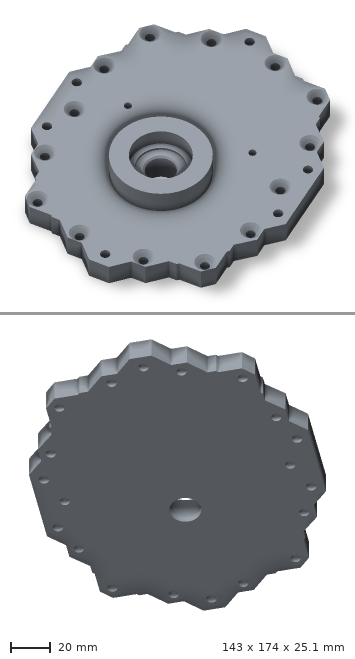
import cadquery as cq
import math

length = 174.0
width = 143.0
plate_thickness = 12.2
half_length = length / 2
half_width = width / 2

boss_center_y = -18.5
boss_diameter = 52.0
boss_height = 12.9
top_z = plate_thickness + boss_height
seat_diameter = 32.0
seat_depth = 9.0
relief_diameter = 26.0
relief_depth = 1.2
shaft_mouth_diameter = 18.0
shaft_diameter = 16.0

screw_diameter = 5.0
countersink_diameter = 10.8
countersink_angle = 90
dowel_diameter = 5.2
blind_diameter = 4.2
blind_depth = 7.0
drill_point_angle = 118

screw_positions = [(18.0, 73.0), (47.0, 62.3), (57.8, 32.9), (57.8, 0)]
dowel_positions = [(0, 80.0), (64.9, 16.5)]
blind_x = 35.0
blind_y = 14.1

quarter_outline = [
    (5.5, half_length),
    (14.0, 78.6),
    (22.0, 78.6),
    (30.6, 70.0),
    (35.0, 70.0),
    (36.0, 68.9),
    (48.0, 68.9),
    (53.6, 63.3),
    (53.6, 51.0),
    (54.6, 50.0),
    (54.6, 45.5),
    (63.5, 37.0),
    (63.5, 29.0),
    (half_width, 21.2),
]


def mirrored(points):
    """Repeat first-quadrant points in all four quadrants, without duplicates."""
    return sorted({(sx * x, sy * y) for x, y in points for sx in (1, -1) for sy in (1, -1)})


def make_plate():
    right_side = quarter_outline + [(x, -y) for x, y in reversed(quarter_outline)]
    left_side = [(-x, -y) for x, y in right_side]
    return cq.Workplane("XY").polyline(right_side + left_side).close().extrude(plate_thickness)


def make_boss():
    return (
        cq.Workplane("XY", origin=(0, boss_center_y, 0))
        .circle(boss_diameter / 2)
        .extrude(top_z)
    )


def make_bore():
    """Revolved cutter: bearing seat, shallow relief, chamfered through hole."""
    seat_z = top_z - seat_depth
    relief_z = seat_z - relief_depth
    chamfer = (shaft_mouth_diameter - shaft_diameter) / 2
    profile = [
        (0, 0),
        (shaft_diameter / 2, 0),
        (shaft_diameter / 2, relief_z - chamfer),
        (shaft_mouth_diameter / 2, relief_z),
        (relief_diameter / 2, relief_z),
        (relief_diameter / 2, seat_z),
        (seat_diameter / 2, seat_z),
        (seat_diameter / 2, top_z),
        (0, top_z),
    ]
    return (
        cq.Workplane("XZ", origin=(0, boss_center_y, 0))
        .polyline(profile)
        .close()
        .revolve(360, (0, 0), (0, 1))
    )


def make_blind_hole():
    """Revolved cutter for a blind drilled hole with a conical bottom."""
    radius = blind_diameter / 2
    point_height = radius / math.tan(math.radians(drill_point_angle / 2))
    floor_z = plate_thickness - blind_depth
    profile = [
        (0, floor_z - point_height),
        (radius, floor_z),
        (radius, plate_thickness),
        (0, plate_thickness),
    ]
    return cq.Workplane("XZ").polyline(profile).close().revolve(360, (0, 0), (0, 1))


plate_top = cq.Workplane("XY", origin=(0, 0, plate_thickness))

result = make_plate()
result = result.union(make_boss())
result = result.cut(make_bore())
result = (
    result.copyWorkplane(plate_top)
    .pushPoints(mirrored(screw_positions))
    .cskHole(screw_diameter, countersink_diameter, countersink_angle)
)
result = (
    result.copyWorkplane(plate_top)
    .pushPoints(mirrored(dowel_positions))
    .hole(dowel_diameter)
)
for side in (1, -1):
    result = result.cut(make_blind_hole().translate((side * blind_x, blind_y, 0)))